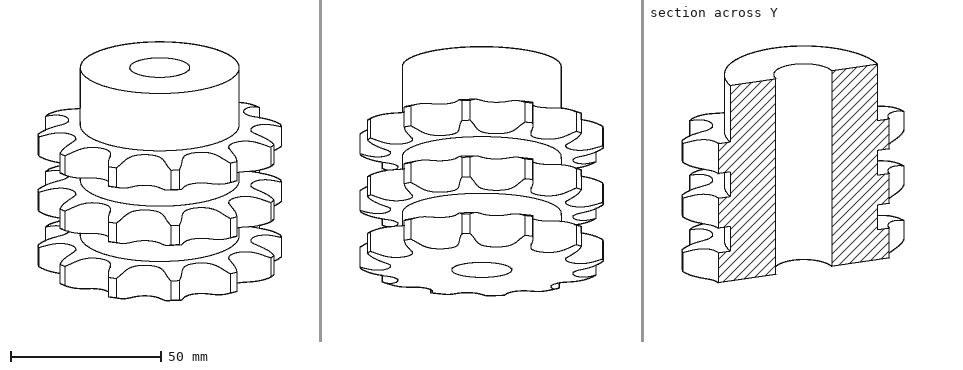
import cadquery as cq
import math


TEETH = 12
CHAIN_PITCH = 19.05
ROLLER_DIAMETER = 12.07

DISC_COUNT = 3
DISC_SPACING = 19.5
DISC_WIDTH = 10.8
TIP_DIAMETER = 81.5
RELIEF_RADIUS = 19.0
RELIEF_DEPTH = 2.0

HUB_DIAMETER = 53.0
BORE_DIAMETER = 20.0
TOTAL_LENGTH = 70.0

TOOTH_ANGLE = 360.0 / TEETH
PITCH_RADIUS = CHAIN_PITCH / 2 / math.sin(math.pi / TEETH)
TIP_RADIUS = TIP_DIAMETER / 2
RELIEF_RUN = math.sqrt(RELIEF_RADIUS**2 - (RELIEF_RADIUS - RELIEF_DEPTH) ** 2)
RELIEF_START_RADIUS = TIP_RADIUS - RELIEF_RUN

SEATING_RADIUS = (1.005 * ROLLER_DIAMETER + 0.0762) / 2
WORKING_RADIUS = 1.3025 * ROLLER_DIAMETER + 0.0381
SEATING_ANGLE = 35.0 + 60.0 / TEETH
WORKING_ANGLE = 18.0 - 56.0 / TEETH
TOPPING_CENTER_DISTANCE = 1.4 * ROLLER_DIAMETER


def polar(center, radius, degrees):
    """Point at a given radius and direction from a center."""
    angle = math.radians(degrees)
    return (center[0] + radius * math.cos(angle), center[1] + radius * math.sin(angle))


def direction(start, end):
    """Direction from one point to another, in degrees."""
    return math.degrees(math.atan2(end[1] - start[1], end[0] - start[0]))


def mirrored(point):
    """Point reflected across the Y axis."""
    return (-point[0], point[1])


def arc_middle(center, start, end):
    """Middle point of the arc from start to end about a center."""
    chord_middle = ((start[0] + end[0]) / 2, (start[1] + end[1]) / 2)
    return polar(center, math.dist(center, start), direction(center, chord_middle))


def tooth_gap():
    """Cutter for the gap centered on +Y: seating, working, straight and topping stretches."""
    seat_center = (0, PITCH_RADIUS)
    flank_start_direction = 180 + SEATING_ANGLE
    flank_end_direction = flank_start_direction - WORKING_ANGLE

    root = polar(seat_center, SEATING_RADIUS, -90)
    seat_end = polar(seat_center, SEATING_RADIUS, flank_start_direction)

    working_center = polar(seat_end, WORKING_RADIUS, SEATING_ANGLE)
    working_end = polar(working_center, WORKING_RADIUS, flank_end_direction)
    working_middle = arc_middle(working_center, seat_end, working_end)

    topping_center = polar(seat_center, TOPPING_CENTER_DISTANCE, 180 + TOOTH_ANGLE / 2)
    normal = math.radians(flank_end_direction)
    offset = (topping_center[0] - working_end[0], topping_center[1] - working_end[1])
    topping_radius = offset[0] * math.cos(normal) + offset[1] * math.sin(normal)
    straight_end = polar(topping_center, topping_radius, flank_end_direction - 180)

    center_radius = math.hypot(*topping_center)
    cosine = (TIP_RADIUS**2 + center_radius**2 - topping_radius**2) / (2 * TIP_RADIUS * center_radius)
    tip_direction = direction((0, 0), topping_center) - math.degrees(math.acos(cosine))
    tip = polar((0, 0), TIP_RADIUS, tip_direction)
    topping_middle = arc_middle(topping_center, straight_end, tip)

    clear_corner = (tip[0], TIP_RADIUS + RELIEF_DEPTH)

    return (
        cq.Workplane("XY")
        .moveTo(*mirrored(seat_end))
        .threePointArc(root, seat_end)
        .threePointArc(working_middle, working_end)
        .lineTo(*straight_end)
        .threePointArc(topping_middle, tip)
        .lineTo(*clear_corner)
        .lineTo(*mirrored(clear_corner))
        .lineTo(*mirrored(tip))
        .threePointArc(mirrored(topping_middle), mirrored(straight_end))
        .lineTo(*mirrored(working_end))
        .threePointArc(mirrored(working_middle), mirrored(seat_end))
        .close()
        .extrude(DISC_WIDTH)
    )


def disc_blank():
    """Round disc standing on Z = 0 with both faces rounded off toward the rim."""
    relief_middle_angle = math.atan2(RELIEF_RUN, RELIEF_RADIUS - RELIEF_DEPTH) / 2
    middle_radius = RELIEF_START_RADIUS + RELIEF_RADIUS * math.sin(relief_middle_angle)
    middle_depth = RELIEF_RADIUS * (1 - math.cos(relief_middle_angle))

    return (
        cq.Workplane("XZ")
        .moveTo(0, 0)
        .lineTo(RELIEF_START_RADIUS, 0)
        .threePointArc((middle_radius, middle_depth), (TIP_RADIUS, RELIEF_DEPTH))
        .lineTo(TIP_RADIUS, DISC_WIDTH - RELIEF_DEPTH)
        .threePointArc((middle_radius, DISC_WIDTH - middle_depth), (RELIEF_START_RADIUS, DISC_WIDTH))
        .lineTo(0, DISC_WIDTH)
        .close()
        .revolve(360, (0, 0, 0), (0, 1, 0))
    )


def toothed_disc():
    """Disc with all its tooth gaps cut."""
    disc = disc_blank()
    gap = tooth_gap()
    for index in range(TEETH):
        disc = disc.cut(gap.rotate((0, 0, 0), (0, 0, 1), index * TOOTH_ANGLE))
    return disc


def sprocket():
    """Hub with the toothed discs stacked from its lower end and the bore through it."""
    body = cq.Workplane("XY").circle(HUB_DIAMETER / 2).extrude(TOTAL_LENGTH)
    disc = toothed_disc()
    for index in range(DISC_COUNT):
        body = body.union(disc.translate((0, 0, index * DISC_SPACING)))
    bore = cq.Workplane("XY").circle(BORE_DIAMETER / 2).extrude(TOTAL_LENGTH)
    return body.cut(bore)


result = sprocket()